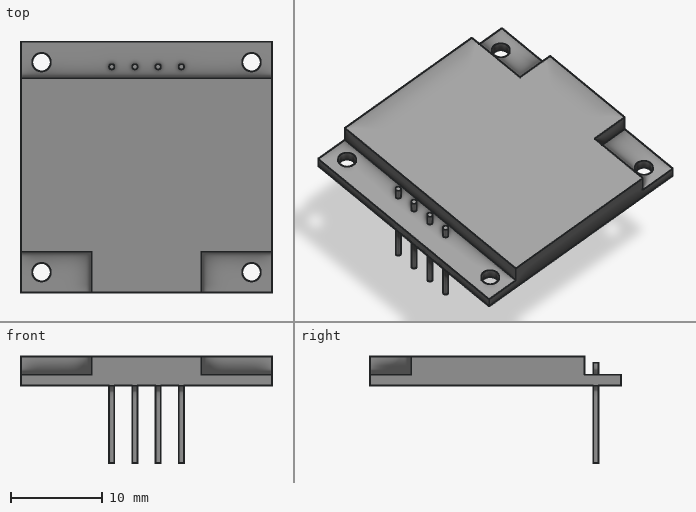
import cadquery as cq

BOARD_SIDE = 27.5
BOARD_THICKNESS = 1.2

HOLE_DIAMETER = 2.0
HOLE_SPACING = 23.0

PANEL_THICKNESS = 2.0
PIN_STRIP_WIDTH = 4.0
TAB_WIDTH = 12.0
TAB_LENGTH = 4.5

PIN_COUNT = 4
PIN_PITCH = 2.54
PIN_DIAMETER = 0.6
PIN_EDGE_DISTANCE = 2.75
PIN_BELOW_BOARD = 8.5
PIN_LENGTH = 11.0

HALF_SIDE = BOARD_SIDE / 2


def make_board():
    """Square plate with a through hole at each corner."""
    plate = cq.Workplane("XY").rect(BOARD_SIDE, BOARD_SIDE).extrude(BOARD_THICKNESS)
    holes = (
        cq.Workplane("XY")
        .rect(HOLE_SPACING, HOLE_SPACING, forConstruction=True)
        .vertices()
        .circle(HOLE_DIAMETER / 2)
        .extrude(BOARD_THICKNESS)
    )
    return plate.cut(holes)


def make_panel():
    """Full-width panel narrowing to a central tongue at the -Y edge."""
    back_y = HALF_SIDE - PIN_STRIP_WIDTH
    shoulder_y = -HALF_SIDE + TAB_LENGTH
    half_tab = TAB_WIDTH / 2
    outline = [
        (-HALF_SIDE, back_y),
        (-HALF_SIDE, shoulder_y),
        (-half_tab, shoulder_y),
        (-half_tab, -HALF_SIDE),
        (half_tab, -HALF_SIDE),
        (half_tab, shoulder_y),
        (HALF_SIDE, shoulder_y),
        (HALF_SIDE, back_y),
    ]
    return (
        cq.Workplane("XY")
        .workplane(offset=BOARD_THICKNESS)
        .polyline(outline)
        .close()
        .extrude(PANEL_THICKNESS)
    )


def make_pins():
    """Row of round pins parallel to X, centred on the board."""
    row_y = HALF_SIDE - PIN_EDGE_DISTANCE
    first_x = -(PIN_COUNT - 1) * PIN_PITCH / 2
    centres = [(first_x + i * PIN_PITCH, row_y) for i in range(PIN_COUNT)]
    return (
        cq.Workplane("XY")
        .workplane(offset=-PIN_BELOW_BOARD)
        .pushPoints(centres)
        .circle(PIN_DIAMETER / 2)
        .extrude(PIN_LENGTH)
    )


result = make_board().union(make_panel()).union(make_pins())